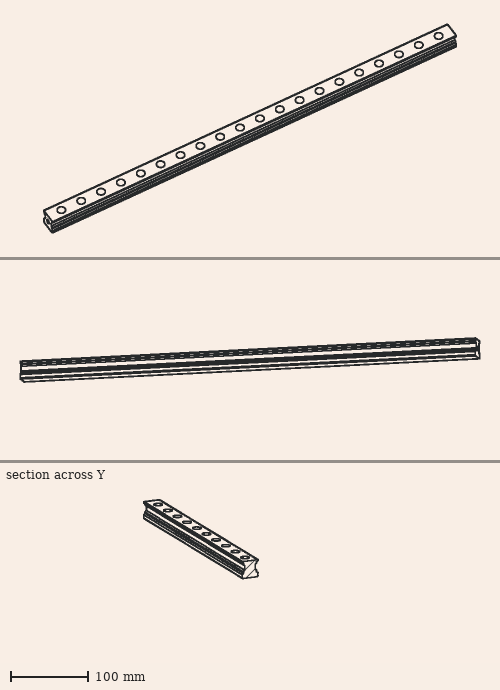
import cadquery as cq

length = 610.0
width = 23.0
height = 23.6
half_width = width / 2

base_chamfer = 1.5
base_wall_top = 5.7
land_half_width = 9.6
lower_land_top = 9.4
waist_half_width = 7.7
waist_top = 17.4
flange_wall_bottom = 22.2
top_chamfer = 0.4
raceway_run = half_width - land_half_width
relief_run = land_half_width - waist_half_width

hole_count = 20
hole_pitch = 30.0
hole_diameter = 11.0
cap_recess = 0.1

end_hole_radius = 3.0
end_hole_height = 12.0
end_hole_depth = 12.0
end_hole_tip = 1.8


def make_rail():
    """Extrude the waisted section along Y, centred on the origin."""
    right_side = [
        (half_width - base_chamfer, 0),
        (half_width, base_chamfer),
        (half_width, base_wall_top),
        (land_half_width, base_wall_top + raceway_run),
        (land_half_width, lower_land_top),
        (waist_half_width, lower_land_top + relief_run),
        (waist_half_width, waist_top),
        (land_half_width, waist_top + relief_run),
        (land_half_width, flange_wall_bottom - raceway_run),
        (half_width, flange_wall_bottom),
        (half_width, height - top_chamfer),
        (half_width - top_chamfer, height),
    ]
    left_side = [(-x, z) for x, z in reversed(right_side)]
    section = cq.Workplane("XZ").polyline(right_side + left_side).close()
    return section.extrude(length / 2, both=True)


def cut_cap_recesses(body):
    """Cut the evenly spaced row of cap recesses in the top face."""
    row = cq.Workplane("XY", origin=(0, 0, height)).rarray(1, hole_pitch, 1, hole_count)
    return body.cut(row.circle(hole_diameter / 2).extrude(-cap_recess))


def cut_end_hole(body):
    """Revolve a drill shape with a conical tip and cut it into the -Y end face."""
    drill = (
        cq.Workplane("XY", origin=(0, -length / 2, end_hole_height))
        .lineTo(end_hole_radius, 0)
        .lineTo(end_hole_radius, end_hole_depth)
        .lineTo(0, end_hole_depth + end_hole_tip)
        .close()
        .revolve(360, (0, 0), (0, 1))
    )
    return body.cut(drill)


rail = make_rail()
capped_rail = cut_cap_recesses(rail)
result = cut_end_hole(capped_rail)